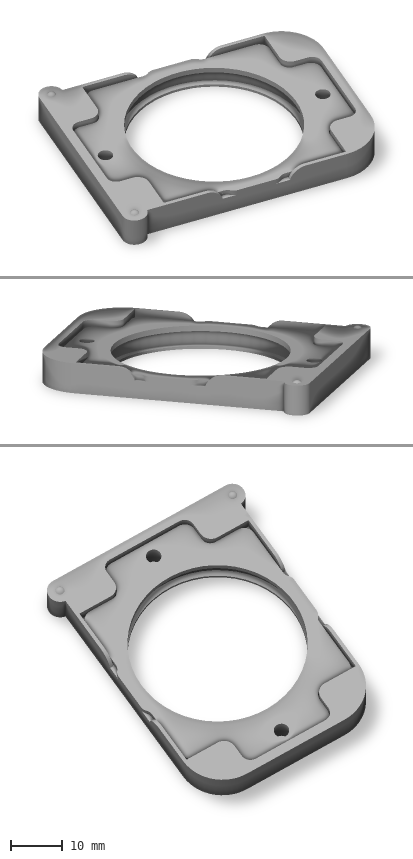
import cadquery as cq
import math

LENGTH = 56.45
BODY_WIDTH = 40.3
BODY_HEIGHT = 6.05
REAR_CORNER_RADIUS = 9.0

LUG_RADIUS = 2.5
FRONT_WIDTH = 44.6
LUG_SPACING = FRONT_WIDTH - 2 * LUG_RADIUS
LUG_FLAT = 0.1
LUG_LENGTH = 2 * LUG_RADIUS + LUG_FLAT
LUG_Y = (LUG_LENGTH - LENGTH) / 2
DOME_DIAMETER = 1.75
DOME_HEIGHT = 0.4

PLATE_THICKNESS = 0.55
PLATE_COUNT = 2
POCKET_FLOOR = 3.55
POCKET_WIDTH = 38.85
POCKET_SHOULDER_LENGTH = 38.6
POCKET_TONGUE_WIDTH = 19.85
POCKET_LENGTH = 52.6
POCKET_TONGUE_RADIUS = 2.0
POCKET_SHOULDER_RADIUS = 2.35
SIDE_CLEARANCE = 0.2
END_CLEARANCE = 0.15
PLATE_TONGUE_RADIUS = 2.2
PLATE_SHOULDER_RADIUS = 1.85
PLATE_CORNER_RADIUS = 2.2

TAB_TIP_LENGTH = 8.0
TAB_ROOT_LENGTH = 13.1

NOTCH_EDGE_RADIUS = 3.55
NOTCH_TOP_LENGTH = 21.0

OPENING_DIAMETER = 34.9
RECESS_DIAMETER = 37.4
LIP_THICKNESS = 0.55
SMALL_HOLE_DIAMETER = 3.0
SMALL_HOLE_SPACING = 46.05

PICK_REACH = 0.005

SMALL_HOLE_POINTS = [(0, -SMALL_HOLE_SPACING / 2), (0, SMALL_HOLE_SPACING / 2)]
LUG_POINTS = [(-LUG_SPACING / 2, LUG_Y), (LUG_SPACING / 2, LUG_Y)]


def box(width, length, bottom, height):
    """A box centred in X and Y, standing on Z = bottom."""
    return cq.Workplane("XY").workplane(offset=bottom).rect(width, length).extrude(height)


def cylinders(points, diameter, bottom, height):
    """Upright cylinders at the given XY points, standing on Z = bottom."""
    return cq.Workplane("XY").workplane(offset=bottom).pushPoints(points).circle(diameter / 2).extrude(height)


def vertical_edges(x, y):
    """Select the four vertical edges at (+-x, +-y)."""
    selector = None
    for sign_x in (-1, 1):
        for sign_y in (-1, 1):
            corner = cq.selectors.BoxSelector(
                (sign_x * x - PICK_REACH, sign_y * y - PICK_REACH, -LENGTH),
                (sign_x * x + PICK_REACH, sign_y * y + PICK_REACH, LENGTH),
            )
            selector = corner if selector is None else selector + corner
    return selector


def stepped_plate(width, shoulder_length, tongue_width, length, tongue_radius, shoulder_radius, bottom, height):
    """A wide rectangle with a narrower, rounded tongue at each end."""
    plate = box(width, shoulder_length, bottom, height).union(box(tongue_width, length, bottom, height))
    plate = plate.edges(vertical_edges(tongue_width / 2, shoulder_length / 2)).fillet(shoulder_radius)
    return plate.edges(vertical_edges(tongue_width / 2, length / 2)).fillet(tongue_radius)


def make_block():
    """Outer block with rounded rear corners and a front bar that ends in the two round lugs."""
    body_length = LENGTH - LUG_LENGTH / 2
    body = box(BODY_WIDTH, body_length, 0, BODY_HEIGHT).translate((0, (LENGTH - body_length) / 2, 0))
    body = body.edges("|Z and >Y").fillet(REAR_CORNER_RADIUS)
    front_bar = box(FRONT_WIDTH, LUG_LENGTH, 0, BODY_HEIGHT).edges("|Z").fillet(LUG_RADIUS)
    return body.union(front_bar.translate((0, LUG_Y, 0)))


def make_domes():
    """Spherical caps on top of the lugs."""
    half_width = DOME_DIAMETER / 2
    sphere_radius = (half_width**2 + DOME_HEIGHT**2) / (2 * DOME_HEIGHT)
    sphere_z = BODY_HEIGHT + DOME_HEIGHT - sphere_radius
    spheres = cq.Workplane("XY").workplane(offset=sphere_z).pushPoints(LUG_POINTS).sphere(sphere_radius)
    return spheres.intersect(cylinders(LUG_POINTS, DOME_DIAMETER, 0, BODY_HEIGHT + DOME_HEIGHT))


def make_notch():
    """Cutter across both side walls: flat floor and ends that round over to the top."""
    depth = BODY_HEIGHT - POCKET_FLOOR
    arc_center_y = NOTCH_TOP_LENGTH / 2
    arc_center_z = BODY_HEIGHT - NOTCH_EDGE_RADIUS
    floor_y = arc_center_y - math.sqrt(NOTCH_EDGE_RADIUS**2 - (NOTCH_EDGE_RADIUS - depth) ** 2)
    middle_y = arc_center_y - NOTCH_EDGE_RADIUS * math.sin(math.pi / 4)
    middle_z = arc_center_z + NOTCH_EDGE_RADIUS * math.cos(math.pi / 4)
    return (
        cq.Workplane("YZ")
        .moveTo(-floor_y, POCKET_FLOOR)
        .lineTo(floor_y, POCKET_FLOOR)
        .threePointArc((middle_y, middle_z), (arc_center_y, BODY_HEIGHT))
        .lineTo(-arc_center_y, BODY_HEIGHT)
        .threePointArc((-middle_y, middle_z), (-floor_y, POCKET_FLOOR))
        .close()
        .extrude(BODY_WIDTH / 2, both=True)
    )


def make_housing():
    """Housing with the plate pocket, side notches, stepped opening and small holes."""
    pocket = stepped_plate(
        POCKET_WIDTH,
        POCKET_SHOULDER_LENGTH,
        POCKET_TONGUE_WIDTH,
        POCKET_LENGTH,
        POCKET_TONGUE_RADIUS,
        POCKET_SHOULDER_RADIUS,
        POCKET_FLOOR,
        BODY_HEIGHT - POCKET_FLOOR,
    )
    housing = make_block().union(make_domes()).cut(pocket).cut(make_notch())
    housing = housing.cut(cylinders([(0, 0)], OPENING_DIAMETER, 0, BODY_HEIGHT))
    housing = housing.cut(cylinders([(0, 0)], RECESS_DIAMETER, LIP_THICKNESS, BODY_HEIGHT))
    return housing.cut(cylinders(SMALL_HOLE_POINTS, SMALL_HOLE_DIAMETER, 0, BODY_HEIGHT))


def make_half_tab(root_x, bottom):
    """The +X, +Y half of a side tab; its flank is an S of two equal tangent arcs."""
    tip_x = BODY_WIDTH / 2
    tip_y = TAB_TIP_LENGTH / 2
    root_y = TAB_ROOT_LENGTH / 2
    return (
        cq.Workplane("XY")
        .workplane(offset=bottom)
        .lineTo(tip_x, 0)
        .lineTo(tip_x, tip_y)
        .tangentArcPoint(((tip_x + root_x) / 2, (tip_y + root_y) / 2), relative=False)
        .tangentArcPoint((root_x, root_y), relative=False)
        .lineTo(0, root_y)
        .close()
        .extrude(PLATE_THICKNESS)
    )


def make_plate(level):
    """One plate of the stack; level 0 lies on the pocket floor."""
    bottom = POCKET_FLOOR + level * PLATE_THICKNESS
    width = POCKET_WIDTH - 2 * SIDE_CLEARANCE
    plate = stepped_plate(
        width,
        POCKET_SHOULDER_LENGTH,
        POCKET_TONGUE_WIDTH,
        POCKET_LENGTH - 2 * END_CLEARANCE,
        PLATE_TONGUE_RADIUS,
        PLATE_SHOULDER_RADIUS,
        bottom,
        PLATE_THICKNESS,
    )
    plate = plate.edges(vertical_edges(width / 2, POCKET_SHOULDER_LENGTH / 2)).fillet(PLATE_CORNER_RADIUS)
    right_half = make_half_tab(width / 2, bottom)
    right_half = right_half.union(right_half.mirror("XZ"))
    plate = plate.union(right_half).union(right_half.mirror("YZ"))
    plate = plate.cut(cylinders([(0, 0)], OPENING_DIAMETER, bottom, PLATE_THICKNESS))
    return plate.cut(cylinders(SMALL_HOLE_POINTS, SMALL_HOLE_DIAMETER, bottom, PLATE_THICKNESS))


housing = make_housing()
plates = [make_plate(level) for level in range(PLATE_COUNT)]
plate_solids = [plate.solids().val() for plate in plates]
result = cq.Compound.makeCompound([housing.solids().val(), *plate_solids])